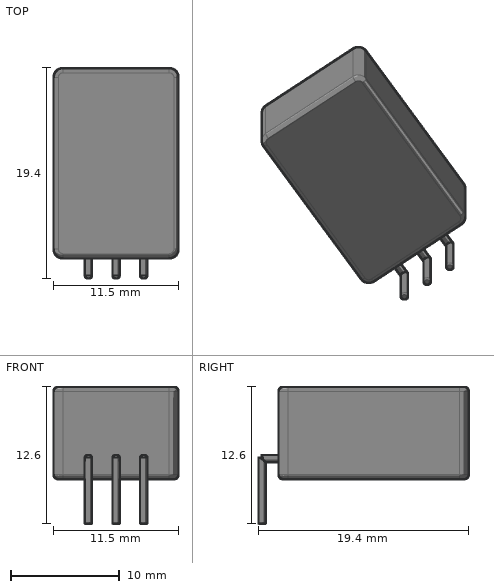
import cadquery as cq

housing_width = 11.5
housing_length = 17.5
housing_height = 8.5
corner_radius = 0.875
rim_radius = corner_radius / 2

pin_count = 3
pin_pitch = 2.54
pin_diameter = 0.7
pin_exit_height = 1.9
pin_reach = 1.5
pin_drop = 6.0
arm_overlap = 0.05
leg_overlap = 0.1
tip_radius = 0.15

pin_radius = pin_diameter / 2
front_face_y = -housing_length / 2
leg_axis_y = front_face_y - pin_reach


def make_housing():
    """Block with rounded upright corners and a smaller round along the top and bottom rims."""
    block = cq.Workplane("XY").box(
        housing_width, housing_length, housing_height, centered=(True, True, False)
    )
    return block.edges("|Z").fillet(corner_radius).faces("<Z or >Z").edges().fillet(rim_radius)


def make_pin(x):
    """Horizontal arm from the housing face joined to a vertical leg with a rounded tip.

    At the elbow, each rod runs slightly past the axis of the other and ends flat.
    """
    arm = (
        cq.Workplane("XZ", origin=(x, front_face_y, pin_exit_height))
        .circle(pin_radius)
        .extrude(pin_reach + arm_overlap)
    )
    leg_base = cq.Plane(
        origin=(x, leg_axis_y, pin_exit_height - pin_drop), xDir=(0, 1, 0), normal=(0, 0, 1)
    )
    leg = (
        cq.Workplane(leg_base)
        .circle(pin_radius)
        .extrude(pin_drop + leg_overlap)
        .faces("<Z")
        .edges()
        .fillet(tip_radius)
    )
    return arm.union(leg)


housing = make_housing()

first_pin_x = -pin_pitch * (pin_count - 1) / 2
pins = [make_pin(first_pin_x + i * pin_pitch) for i in range(pin_count)]

result = cq.Compound.makeCompound([housing.val(), *[pin.val() for pin in pins]])